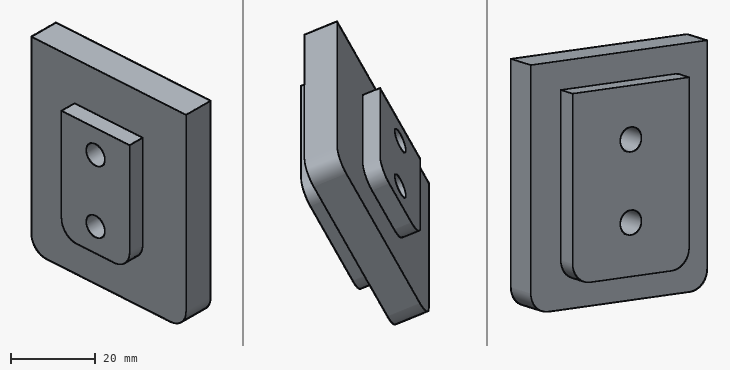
import cadquery as cq

plate_width = 50.0
plate_height = 60.0
plate_thickness = 8.5

front_pad_width = 22.0
front_pad_height = 35.0
front_pad_thickness = 4.5

back_pad_width = 33.0
back_pad_height = 46.0
back_pad_thickness = 5.0

bottom_corner_radius = 5.0

hole_diameter = 6.0
hole_spacing = 20.0

plate_front = -plate_thickness / 2
plate_back = plate_thickness / 2
front_pad_face = plate_front - front_pad_thickness
back_pad_face = plate_back + back_pad_thickness


def rounded_slab(width, height, y_front, y_back):
    """Upright slab centred in X and Z, with its two bottom corners rounded."""
    thickness = y_back - y_front
    slab = cq.Workplane("XY").box(width, thickness, height)
    slab = slab.faces("<Z").edges("|Y").fillet(bottom_corner_radius)
    return slab.translate((0, y_front + thickness / 2, 0))


def through_holes():
    """Two pins along Y, one above the other, long enough to cut every layer."""
    return (
        cq.Workplane("XZ", origin=(0, back_pad_face, 0))
        .pushPoints([(0, -hole_spacing / 2), (0, hole_spacing / 2)])
        .circle(hole_diameter / 2)
        .extrude(back_pad_face - front_pad_face)
    )


plate = rounded_slab(plate_width, plate_height, plate_front, plate_back)
front_pad = rounded_slab(front_pad_width, front_pad_height, front_pad_face, plate_front)
back_pad = rounded_slab(back_pad_width, back_pad_height, plate_back, back_pad_face)

result = plate.union(front_pad).union(back_pad).cut(through_holes())